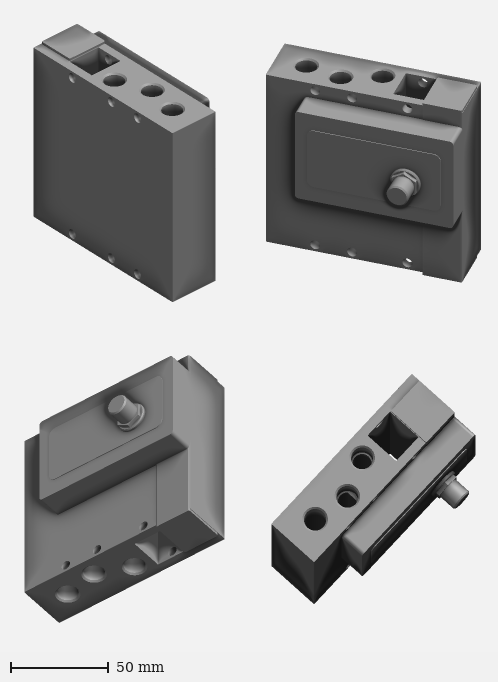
import cadquery as cq

total_height = 107
block_inset = 1.5
block_length = 106.7
block_depth = 29.7
block_height = total_height - 2 * block_inset
block_edge_radius = 0.4
middle_z = total_height / 2

bar_left = 0.2
bar_right = 21.8
bar_front = 5.5
bar_back = 30.1
bar_edge_radius = 0.9

window_left = 22.1
window_right = 39.2
window_front = 5.1
window_back = 24.9

port_pitch = 20.0
port_a_x = 49.8
port_a = (port_a_x, 11.0)
port_b = (port_a_x + port_pitch, 19.0)
port_c = (port_a_x + 2 * port_pitch, 15)
port_mouth_diameter = 13.2
port_bore_diameter = 11.3
port_chamfer = (port_mouth_diameter - port_bore_diameter) / 2
port_bore_depth = 12.8
port_core_diameter = 9.6
port_b_slot_width = 7.3

mount_hole_xs = (29.9, 59.8, 79.8)
mount_hole_diameter = 5.4
mount_hole_edge = 4.0

cover_length = 85.9
cover_bottom = 42.9
cover_top = 96.7
cover_back = 44.2
cover_corner_radius = 2.0

label_left = 6.7
label_right = 79.3
label_bottom = 52.1
label_top = 87.1
label_thickness = 0.4
label_corner_radius = 4.0

connector_x = 25.6
connector_z = 66.6
connector_diameter = 11.9
connector_back = 58.4
connector_chamfer = 0.7
nut_across_corners = 15.1
nut_back = 48.6
washer_diameter = 16.5
washer_back = 46.3
washer_chamfer = 0.5


def box(x_range, y_range, z_range):
    """Axis-aligned box between the given (low, high) limits."""
    lows, highs = zip(x_range, y_range, z_range)
    sizes = [high - low for low, high in zip(lows, highs)]
    return cq.Workplane("XY").box(*sizes, centered=False).translate(lows)


def facing_back(x, y, z):
    """Workplane at the given point whose extrusions run toward +Y."""
    return cq.Workplane("XZ", origin=(x, y, z)).transformed(rotate=(180, 0, 0))


def make_block():
    block = box((0, block_length), (0, block_depth), (block_inset, total_height - block_inset))
    return block.edges("|Z").fillet(block_edge_radius)


def make_bar():
    bar = box((bar_left, bar_right), (bar_front, bar_back), (0, total_height))
    return bar.edges("|Z").fillet(bar_edge_radius)


def make_cover():
    cover = box((0, cover_length), (block_depth, cover_back), (cover_bottom, cover_top))
    cover = cover.edges("|Y").fillet(cover_corner_radius)
    label = box(
        (label_left, label_right),
        (cover_back, cover_back + label_thickness),
        (label_bottom, label_top),
    )
    return cover.union(label.edges("|Y").fillet(label_corner_radius))


def make_connector():
    base = facing_back(connector_x, cover_back, connector_z)
    washer = base.circle(washer_diameter / 2).extrude(washer_back - cover_back)
    washer = washer.faces(">Y").chamfer(washer_chamfer)
    nut = base.transformed(rotate=(0, 0, 90)).polygon(6, nut_across_corners).extrude(nut_back - cover_back)
    barrel = base.circle(connector_diameter / 2).extrude(connector_back - cover_back)
    barrel = barrel.faces(">Y").chamfer(connector_chamfer)
    return washer.union(nut).union(barrel)


def column(centre, diameter):
    """Cylinder along Z over the full height."""
    return cq.Workplane("XY").center(*centre).circle(diameter / 2).extrude(total_height)


def port_counterbores(centre):
    """Chamfered bores entering the block from its top and bottom faces."""
    bore = cq.Workplane("XY", origin=(*centre, block_inset)).circle(port_bore_diameter / 2)
    bore = bore.extrude(port_bore_depth)
    mouth = cq.Workplane("XY", origin=(*centre, block_inset)).circle(port_mouth_diameter / 2)
    mouth = mouth.workplane(offset=port_chamfer).circle(port_bore_diameter / 2).loft()
    lower = bore.union(mouth)
    return lower.union(lower.mirror("XY", (0, 0, middle_z)))


def make_ports():
    slot_sides = (port_b[0] - port_b_slot_width / 2, port_b[0] + port_b_slot_width / 2)
    slot = column(port_b, port_core_diameter).intersect(
        box(slot_sides, (0, block_depth), (0, total_height))
    )
    ports = column(port_a, port_core_diameter).union(slot).union(column(port_c, port_bore_diameter))
    for centre in (port_a, port_b, port_c):
        ports = ports.union(port_counterbores(centre))
    return ports


def make_mount_holes():
    row_offset = block_height / 2 - mount_hole_edge
    points = [(x, z) for x in mount_hole_xs for z in (-row_offset, row_offset)]
    plane = cq.Workplane("XZ", origin=(0, 0, middle_z))
    return plane.pushPoints(points).circle(mount_hole_diameter / 2).extrude(-block_depth)


window = box((window_left, window_right), (window_front, window_back), (0, total_height))

result = (
    make_block()
    .union(make_bar())
    .cut(window)
    .cut(make_ports())
    .cut(make_mount_holes())
    .union(make_cover())
    .union(make_connector())
)